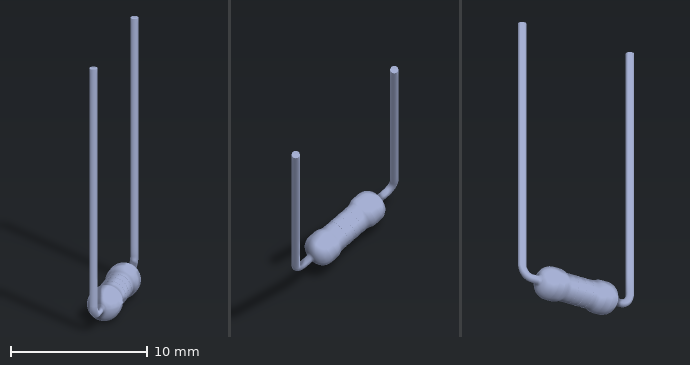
import cadquery as cq
import math


lead_diameter = 0.6
lead_pitch = 10.0
bend_radius = 0.9
lead_top_z = 19.85

cap_diameter = 2.5
core_diameter = 2.15
cap_land_inner = 1.93
cap_land_outer = 2.5
cap_round_radius = 0.95
shoulder_radius = 0.8
neck_radius = 0.22

band_diameter = 2.12
band_width = 0.3
band_pitch = 0.7
band_count = 3

lead_radius = lead_diameter / 2
cap_radius = cap_diameter / 2
core_radius = core_diameter / 2

shoulder_drop = (cap_radius - core_radius) / 2
shoulder_run = math.sqrt(2 * shoulder_radius * shoulder_drop - shoulder_drop**2)
shoulder_middle_y = cap_land_inner - shoulder_run
core_end_y = shoulder_middle_y - shoulder_run
shoulder_middle_radius = core_radius + shoulder_drop

cap_round_center_radius = cap_radius - cap_round_radius
neck_center_radius = lead_radius + neck_radius
center_rise = neck_center_radius - cap_round_center_radius
center_distance = cap_round_radius + neck_radius
center_run = math.sqrt(center_distance**2 - center_rise**2)
neck_end_y = cap_land_outer + center_run
neck_start_y = cap_land_outer + center_run * cap_round_radius / center_distance
neck_start_radius = cap_round_center_radius + center_rise * cap_round_radius / center_distance


def half_body():
    """Body from mid-length to the +Y neck, revolved about the Y axis."""
    profile = (
        cq.Workplane("XY")
        .lineTo(core_radius, 0)
        .lineTo(core_radius, core_end_y)
        .radiusArc((shoulder_middle_radius, shoulder_middle_y), shoulder_radius)
        .radiusArc((cap_radius, cap_land_inner), -shoulder_radius)
        .lineTo(cap_radius, cap_land_outer)
        .radiusArc((neck_start_radius, neck_start_y), -cap_round_radius)
        .radiusArc((lead_radius, neck_end_y), neck_radius)
        .lineTo(0, neck_end_y)
        .close()
    )
    return profile.revolve(360, (0, 0, 0), (0, 1, 0))


def lead():
    """Round wire leaving the +Y neck, bending through 90 degrees and running up."""
    lead_y = lead_pitch / 2
    bend_start_y = lead_y - bend_radius
    diagonal_offset = bend_radius * math.sin(math.pi / 4)
    bend_middle = (bend_start_y + diagonal_offset, bend_radius - diagonal_offset)
    path = (
        cq.Workplane("YZ")
        .moveTo(neck_end_y, 0)
        .lineTo(bend_start_y, 0)
        .threePointArc(bend_middle, (lead_y, bend_radius))
        .lineTo(lead_y, lead_top_z)
    )
    section = cq.Workplane("XZ", origin=(0, neck_end_y, 0)).circle(lead_radius)
    return section.sweep(path)


def band_groove(center_y):
    """Shallow ring to remove from the core, centred at center_y."""
    start = cq.Workplane("XZ", origin=(0, center_y + band_width / 2, 0))
    return start.circle(cap_radius).circle(band_diameter / 2).extrude(band_width)


half = half_body().union(lead())
result = half.union(half.mirror("XZ"))
for index in range(band_count):
    band_y = (index - (band_count - 1) / 2) * band_pitch
    result = result.cut(band_groove(band_y))